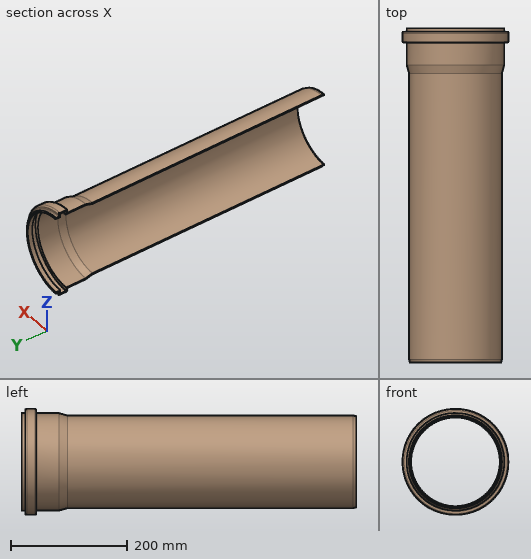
import cadquery as cq

length = 575.0
spigot_diameter = 160.1
bore_diameter = 152.3

chamfer_length = 6.0
chamfer_depth = 1.6

socket_diameter = 168.0
socket_bore_diameter = 161.0
taper_start = 78.0
taper_end = 63.5

collar_diameter = 182.6
groove_diameter = 175.6
lip_diameter = 168.3
lip_bore_diameter = 161.3
collar_front = 6.0
collar_width = 19.0
collar_edge_radius = 2.7
collar_root_radius = 1.0

tolerance = 0.01

wall = (collar_diameter - groove_diameter) / 2
collar_back = collar_front + collar_width
groove_front = collar_front + wall
groove_back = collar_back - wall
spigot_y = -length / 2
mouth_y = length / 2


def revolve_profile(points):
    """Revolve a closed (radius, y) outline about the Y axis."""
    return cq.Workplane("XY").polyline(points).close().revolve(360, (0, 0, 0), (0, 1, 0))


def round_circle(body, diameter, distance, radius):
    """Fillet the circular edge of a diameter at a distance from the mouth."""
    y = mouth_y - distance

    def is_wanted(edge):
        return abs(edge.radius() - diameter / 2) < tolerance and abs(edge.Center().y - y) < tolerance

    return body.edges("%CIRCLE").filter(is_wanted).fillet(radius)


def make_outer_body():
    """Solid envelope: chamfered spigot, taper, socket, rounded collar and lip."""
    spigot_radius = spigot_diameter / 2
    socket_radius = socket_diameter / 2
    collar_radius = collar_diameter / 2
    lip_radius = lip_diameter / 2
    body = revolve_profile([
        (0, spigot_y),
        (spigot_radius - chamfer_depth, spigot_y),
        (spigot_radius, spigot_y + chamfer_length),
        (spigot_radius, mouth_y - taper_start),
        (socket_radius, mouth_y - taper_end),
        (socket_radius, mouth_y - collar_back),
        (collar_radius, mouth_y - collar_back),
        (collar_radius, mouth_y - collar_front),
        (lip_radius, mouth_y - collar_front),
        (lip_radius, mouth_y),
        (0, mouth_y),
    ])
    for distance in (collar_front, collar_back):
        body = round_circle(body, collar_diameter, distance, collar_edge_radius)
    body = round_circle(body, lip_diameter, collar_front, collar_root_radius)
    return round_circle(body, socket_diameter, collar_back, collar_root_radius)


def make_cavity():
    """Inner space: pipe bore, taper, socket bore, sealing ring groove and lip bore."""
    bore_radius = bore_diameter / 2
    socket_bore_radius = socket_bore_diameter / 2
    groove_radius = groove_diameter / 2
    lip_bore_radius = lip_bore_diameter / 2
    return revolve_profile([
        (0, spigot_y),
        (bore_radius, spigot_y),
        (bore_radius, mouth_y - taper_start),
        (socket_bore_radius, mouth_y - taper_end),
        (socket_bore_radius, mouth_y - groove_back),
        (groove_radius, mouth_y - groove_back),
        (groove_radius, mouth_y - groove_front),
        (lip_bore_radius, mouth_y - groove_front),
        (lip_bore_radius, mouth_y),
        (0, mouth_y),
    ])


result = make_outer_body().cut(make_cavity())